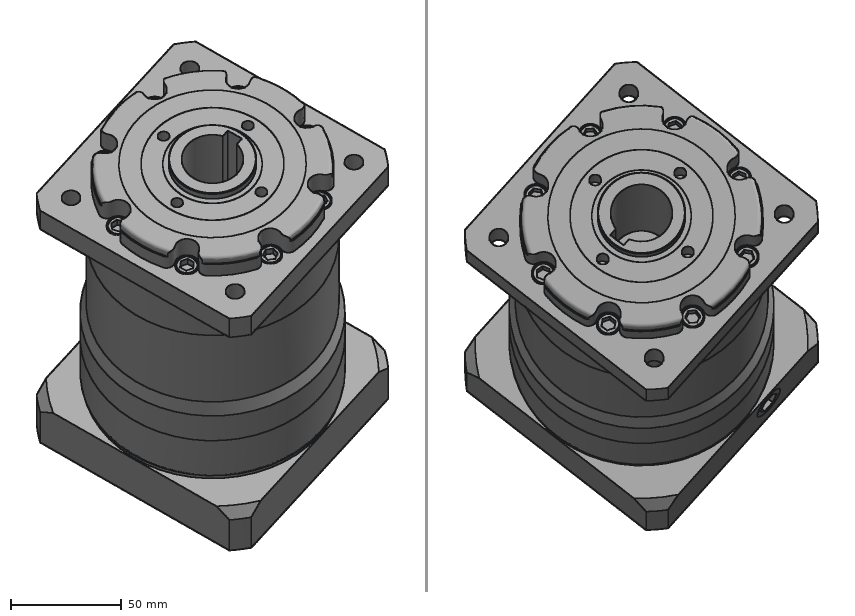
import cadquery as cq
import math

total_height = 186.0
base_top_z = 27.2
foot_top_z = 30.0
adapter_top_z = 55.6
cone_bottom_z = 73.8
cone_top_z = 80.7
ring_gear_top_z = 129.6
flange_bottom_z = 156.8
flange_top_z = 170.5
lobe_ledge_z = 179.0
face_top_z = 182.5

square_side = 120.0
corner_radius = 80.0
base_corner_chamfer = 4.6
lower_radius = square_side / 2
foot_relief = 0.5
upper_radius = 57.3
mounting_hole_spacing = 91.7
mounting_hole_diameter = 8.5

lobe_radius = 55.0
lobe_ledge_width = 0.5
lobe_edge_round = 1.9
notch_count = 8
notch_pitch = 360 / notch_count
notch_circle_radius = 50.0
notch_radius = 5.5
notch_corner_round = 3.9
position_tolerance = 0.02
screw_seat_diameter = 10.8
screw_head_diameter = 9.5
screw_groove_depth = 0.5
screw_socket_across_flats = 6.0
screw_socket_depth = 3.7
screw_socket_turn = 7.5

carrier_radius = 42.5
inner_face_radius = 32.4
inner_face_recess = 0.2
undercut_radius = 22.5
undercut_depth = 0.2
boss_radius = 19.9
boss_chamfer = 0.4
bore_radius = 14.0
keyway_width = 7.8
keyway_reach = 17.3
tapped_hole_count = 4
tapped_hole_circle_radius = 27.3
tapped_hole_diameter = 5.4
tapped_hole_depth = 9.3

plug_y = -18.0
plug_z = 17.1
plug_diameter = 16.0
plug_length = 14.9
plug_socket_across_flats = 9.9
plug_socket_depth = 4.8


def cylinder(radius, bottom_z, top_z):
    """Upright cylinder on the gearbox axis."""
    return cq.Workplane("XY").workplane(offset=bottom_z).circle(radius).extrude(top_z - bottom_z)


def square_plate(bottom_z, top_z):
    """Square plate whose corners are turned to the corner radius."""
    height = top_z - bottom_z
    square = cq.Workplane("XY").workplane(offset=bottom_z).rect(square_side, square_side).extrude(height)
    return square.intersect(cylinder(corner_radius, bottom_z, top_z))


def plug_cylinder():
    """Space taken by the plug, shared by the plug and its hole."""
    return (
        cq.Workplane("YZ", origin=(-square_side / 2, plug_y, plug_z))
        .circle(plug_diameter / 2)
        .extrude(plug_length)
    )


def make_adapter():
    """Square base with turned corners and a round neck above it."""
    turned_blank = cylinder(corner_radius, 0, base_top_z).faces(">Z").chamfer(base_corner_chamfer)
    base = square_plate(0, base_top_z).intersect(turned_blank)
    foot = cylinder(lower_radius - foot_relief, base_top_z, foot_top_z)
    neck = cylinder(lower_radius, foot_top_z, adapter_top_z)
    return base.union(foot).union(neck).cut(plug_cylinder())


def across_corners(across_flats):
    """Corner-to-corner size of a hexagon."""
    return across_flats / math.cos(math.pi / 6)


def make_plug():
    """Round plug with a hexagon socket, flush with the base side."""
    socket = (
        cq.Workplane("YZ", origin=(-square_side / 2, plug_y, plug_z))
        .polygon(6, across_corners(plug_socket_across_flats))
        .extrude(plug_socket_depth)
    )
    return plug_cylinder().cut(socket)


def make_ring_gear_housing():
    """Stepped round housing with a cone between its two diameters."""
    return (
        cq.Workplane("XZ")
        .moveTo(0, adapter_top_z)
        .lineTo(lower_radius, adapter_top_z)
        .lineTo(lower_radius, cone_bottom_z)
        .lineTo(upper_radius, cone_top_z)
        .lineTo(upper_radius, ring_gear_top_z)
        .lineTo(0, ring_gear_top_z)
        .close()
        .revolve(360, (0, 0, 0), (0, 1, 0))
    )


def make_notch():
    """Cutter for one notch on the +X side: a round inner end that opens outward with parallel sides."""
    height = face_top_z - flange_top_z
    workplane = cq.Workplane("XY").workplane(offset=flange_top_z)
    inner_end = workplane.center(notch_circle_radius, 0).circle(notch_radius).extrude(height)
    opening = (
        workplane.center(notch_circle_radius + notch_radius, 0)
        .rect(2 * notch_radius, 2 * notch_radius)
        .extrude(height)
    )
    return inner_end.union(opening)


def is_lobe_corner(edge):
    """True for the upright edges where the notch sides meet the outer surface, not for its seam."""
    middle = edge.Center()
    on_outer_surface = math.hypot(middle.x, middle.y) > lobe_radius - position_tolerance
    return on_outer_surface and abs(middle.y) > position_tolerance


def make_lobes():
    """Round face cut by open notches, with a ledge and a rounded upper edge."""
    lobes = cylinder(lobe_radius, flange_top_z, face_top_z)
    notch = make_notch()
    for index in range(notch_count):
        lobes = lobes.cut(notch.rotate((0, 0, 0), (0, 0, 1), notch_pitch * (index + 0.5)))
    lobes = lobes.edges("|Z").filter(is_lobe_corner).fillet(notch_corner_round)

    rim_radius = lobe_radius - lobe_ledge_width
    rim = cylinder(rim_radius, lobe_ledge_z, face_top_z).faces(">Z").edges().fillet(lobe_edge_round)
    envelope = cylinder(lobe_radius, flange_top_z, lobe_ledge_z).union(rim)
    return lobes.intersect(envelope)


def make_screw_recesses():
    """Cutters for the notch floors: a shallow ring groove round each screw head and its hexagon socket."""
    places = (
        cq.Workplane("XY")
        .workplane(offset=flange_top_z)
        .polarArray(notch_circle_radius, notch_pitch / 2, 360, notch_count)
    )
    groove = (
        cq.Workplane("XY")
        .circle(screw_seat_diameter / 2)
        .circle(screw_head_diameter / 2)
        .extrude(-screw_groove_depth)
    )
    socket = (
        cq.Workplane("XY")
        .polygon(6, across_corners(screw_socket_across_flats))
        .extrude(-screw_socket_depth)
        .rotate((0, 0, 0), (0, 0, 1), screw_socket_turn)
    )
    recess = cq.Compound.makeCompound([groove.val(), socket.val()])
    return places.eachpoint(lambda place: recess.moved(place))


def make_output_housing():
    """Round housing with the square mounting flange and the lobed face."""
    barrel = cylinder(upper_radius, ring_gear_top_z, flange_bottom_z)
    flange = (
        square_plate(flange_bottom_z, flange_top_z)
        .faces(">Z")
        .workplane(origin=(0, 0, 0))
        .rect(mounting_hole_spacing, mounting_hole_spacing, forConstruction=True)
        .vertices()
        .hole(mounting_hole_diameter)
    )
    housing = barrel.union(flange).union(make_lobes())
    housing = housing.cut(make_screw_recesses())
    return housing.cut(cylinder(carrier_radius, ring_gear_top_z, face_top_z))


def make_output_shaft():
    """Hollow carrier with a stepped face, a keyed bore and tapped holes."""
    inner_face_z = face_top_z - inner_face_recess
    undercut_z = inner_face_z - undercut_depth
    shaft = (
        cylinder(carrier_radius, ring_gear_top_z, face_top_z)
        .cut(cylinder(inner_face_radius, inner_face_z, face_top_z))
        .cut(cylinder(undercut_radius, undercut_z, inner_face_z))
    )
    boss = cylinder(boss_radius, undercut_z, total_height).faces(">Z").edges().chamfer(boss_chamfer)
    shaft = shaft.union(boss)
    keyway = (
        cq.Workplane("XY")
        .workplane(offset=ring_gear_top_z)
        .center(0, keyway_reach / 2)
        .rect(keyway_width, keyway_reach)
        .extrude(total_height - ring_gear_top_z)
    )
    tapped_holes = (
        cq.Workplane("XY")
        .workplane(offset=inner_face_z)
        .polarArray(tapped_hole_circle_radius, 0, 360, tapped_hole_count)
        .circle(tapped_hole_diameter / 2)
        .extrude(-tapped_hole_depth)
    )
    return shaft.cut(cylinder(bore_radius, ring_gear_top_z, total_height)).cut(keyway).cut(tapped_holes)


adapter = make_adapter()
plug = make_plug()
ring_gear_housing = make_ring_gear_housing()
output_housing = make_output_housing()
output_shaft = make_output_shaft()

result = cq.Compound.makeCompound(
    [
        adapter.val(),
        plug.val(),
        ring_gear_housing.val(),
        output_housing.val(),
        output_shaft.val(),
    ]
)